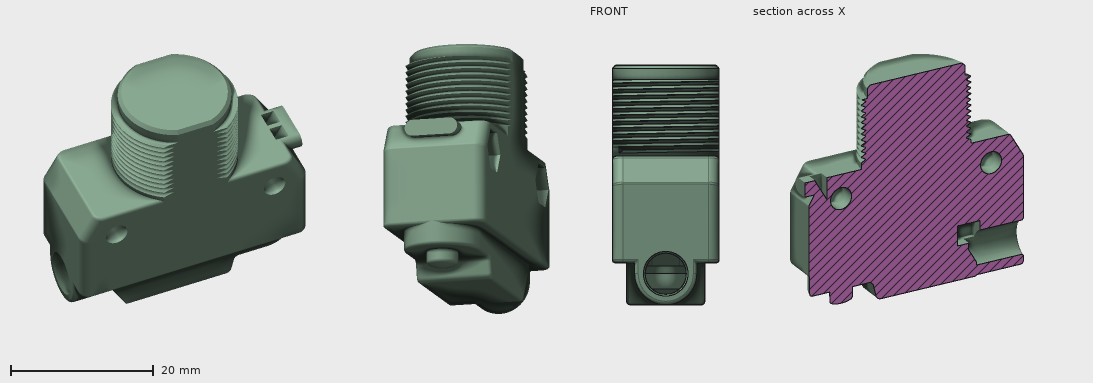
import cadquery as cq
import math

SLOPE_ANGLE = 60.0
SLOPE = math.tan(math.radians(SLOPE_ANGLE))
EDGE_RADIUS = 0.5
SMALL_RADIUS = 0.25
OVERLAP = 0.7
PICK_MARGIN = 0.05

OVERALL_LENGTH = 35.1
OVERALL_HEIGHT = 33.6

BODY_WIDTH = 15.0
BODY_LENGTH = 34.5
BODY_BOTTOM = 5.85
BODY_TOP = 20.82
BODY_CORNER_RADIUS = 1.47
SHOULDER_RUN = 2.18
HALF_WIDTH = BODY_WIDTH / 2
HALF_LENGTH = BODY_LENGTH / 2
SHOULDER_BOTTOM = BODY_TOP - SHOULDER_RUN * SLOPE

NECK_RADIUS = 8.92
NECK_TOP = 31.6
CAP_RADIUS = 7.97
CAP_CHAMFER = 0.5
TEN_TURNS_LENGTH = 8.95
THREAD_PITCH = TEN_TURNS_LENGTH / 10
THREAD_DEPTH = 0.75
THREAD_START_Z = 21.65
THREAD_START_ANGLE = 223.0
GROOVE_HEIGHT = 0.8
GROOVE_OVERSHOOT = 0.05

MOUNT_OFFSET = 12.05
MOUNT_Z = 17.03
MOUNT_DIAMETER = 3.3
HEX_CORNER_DIAMETER = 6.55
HEX_DEPTH = 2.4

COVER_WIDTH = 10.95
COVER_REAR_BOTTOM = 2.9
COVER_STEP_TOP_Y = 7.02
COVER_STEP_BOTTOM_Y = 6.32
COVER_STEP_TOP_RADIUS = 0.7
COVER_STEP_BOTTOM_RADIUS = 0.88
COVER_FRONT_BOTTOM_Y = -9.62
COVER_REAR_FLAT = 0.007

TUBE_RADIUS = 4.35
TUBE_LENGTH = 10.55
BORE_RADIUS = 2.88
BORE_DEPTH = 8.78
BORE_END = BORE_DEPTH - HALF_LENGTH
BORE_MOUTH_CHAMFER = 0.25
RAMP_TOP = TUBE_RADIUS
RAMP_BOTTOM = 2.2
RECESS_FLOOR = 5.4
RECESS_WIDTH = 6.67
RECESS_DEPTH = 1.75
RECESS_CORNER_RADIUS = 1.4
RECESS_TOP = 8.43

BUTTON_RADIUS = 2.2
BUTTON_RIM_Z = 1.2
BUTTON_BOTTOM = 0.6

TAB_WIDTH = 7.65
TAB_THICKNESS = 2.28
TAB_REAR = OVERALL_LENGTH - HALF_LENGTH
WINDOW_REAR = 16.25
WINDOW_LENGTH = 1.93
WINDOW_WIDTH = 2.3
BRIDGE_WIDTH = 0.7


def box(x_min, x_max, y_min, y_max, z_min, z_max):
    size = (x_max - x_min, y_max - y_min, z_max - z_min)
    return cq.Workplane("XY").box(*size, centered=False).translate((x_min, y_min, z_min))


def extrude_across(sketch, width):
    """Extrude a YZ outline symmetrically about X = 0."""
    return sketch.extrude(width / 2, both=True)


def make_body():
    outline = cq.Workplane("YZ").polyline([
        (-HALF_LENGTH, BODY_BOTTOM),
        (HALF_LENGTH, BODY_BOTTOM),
        (HALF_LENGTH, SHOULDER_BOTTOM),
        (HALF_LENGTH - SHOULDER_RUN, BODY_TOP),
        (SHOULDER_RUN - HALF_LENGTH, BODY_TOP),
        (-HALF_LENGTH, SHOULDER_BOTTOM),
    ]).close()
    body = extrude_across(outline, BODY_WIDTH)
    shoulder_edges = cq.selectors.BoxSelector(
        (-HALF_WIDTH, -BODY_LENGTH, SHOULDER_BOTTOM - PICK_MARGIN),
        (HALF_WIDTH, BODY_LENGTH, SHOULDER_BOTTOM + PICK_MARGIN),
    )
    body = body.edges(shoulder_edges).edges("|X").fillet(EDGE_RADIUS)
    end_corners = body.faces("<X or >X").edges("not(|Y)")
    body = body.newObject(end_corners.vals()).fillet(BODY_CORNER_RADIUS)
    return body.faces("<Z or >Z").edges().fillet(EDGE_RADIUS)


def make_cable_tube():
    """U-shaped housing around the bore, flush with the front of the body."""
    front = cq.Workplane("XZ", origin=(0, -HALF_LENGTH, 0))
    outline = (
        front.moveTo(-TUBE_RADIUS, BODY_BOTTOM + OVERLAP)
        .lineTo(-TUBE_RADIUS, TUBE_RADIUS)
        .threePointArc((0, 0), (TUBE_RADIUS, TUBE_RADIUS))
        .lineTo(TUBE_RADIUS, BODY_BOTTOM + OVERLAP)
        .close()
    )
    tube = outline.extrude(-TUBE_LENGTH)
    return tube.faces("<Y").edges("not(>Z)").fillet(EDGE_RADIUS)


def join_tube(body, tube):
    """Join the tube and round the inner corners where it leaves the underside of the body."""
    joined = body.union(tube)
    inner_corners = cq.selectors.BoxSelector(
        (-TUBE_RADIUS - PICK_MARGIN, -HALF_LENGTH, BODY_BOTTOM - PICK_MARGIN),
        (TUBE_RADIUS + PICK_MARGIN, TUBE_LENGTH - HALF_LENGTH, BODY_BOTTOM + PICK_MARGIN),
    )
    return joined.edges(inner_corners).edges("|Y").fillet(SMALL_RADIUS)


def make_cover():
    top = BODY_BOTTOM + OVERLAP
    outline = cq.Workplane("YZ").polyline([
        (COVER_FRONT_BOTTOM_Y, 0),
        (COVER_STEP_BOTTOM_Y, 0),
        (COVER_STEP_TOP_Y, COVER_REAR_BOTTOM),
        (HALF_LENGTH, COVER_REAR_BOTTOM),
        (HALF_LENGTH, top),
        (COVER_FRONT_BOTTOM_Y - top / SLOPE, top),
    ]).close()
    cover = extrude_across(outline, COVER_WIDTH)

    def step_edge(y, z):
        return cover.edges(cq.NearestToPointSelector((0, y, z))).vals()

    step_bottom = step_edge(COVER_STEP_BOTTOM_Y, 0)
    cover = cover.newObject(step_bottom).fillet(COVER_STEP_BOTTOM_RADIUS)
    step_top = step_edge(COVER_STEP_TOP_Y, COVER_REAR_BOTTOM)
    cover = cover.newObject(step_top).fillet(COVER_STEP_TOP_RADIUS)

    cover = cover.faces(">Y").edges("|Z").fillet((COVER_WIDTH - COVER_REAR_FLAT) / 2)
    underside = cover.faces("<Z").edges("|Y")
    cover = cover.newObject(underside.vals()).fillet(EDGE_RADIUS)
    front_edges = cover.faces("<Y").edges("not(>Z)")
    return cover.newObject(front_edges.vals()).fillet(SMALL_RADIUS)


def make_button():
    profile = (
        cq.Workplane("XZ", origin=(0, MOUNT_OFFSET, 0))
        .moveTo(0, BUTTON_BOTTOM)
        .lineTo(0, COVER_REAR_BOTTOM + OVERLAP)
        .lineTo(BUTTON_RADIUS, COVER_REAR_BOTTOM + OVERLAP)
        .lineTo(BUTTON_RADIUS, BUTTON_RIM_Z)
    )
    dome_height = BUTTON_RIM_Z - BUTTON_BOTTOM
    dome_radius = (BUTTON_RADIUS**2 + dome_height**2) / (2 * dome_height)
    button = profile.radiusArc((0, BUTTON_BOTTOM), dome_radius).close().revolve(360, (0, 0, 0), (0, 1, 0))
    rim = cq.NearestToPointSelector((0, MOUNT_OFFSET, BUTTON_RIM_Z))
    return button.edges(rim).fillet(EDGE_RADIUS)


def make_latch_tab():
    plane = cq.Workplane("XZ", origin=(0, TAB_REAR, BODY_TOP - TAB_THICKNESS / 2))
    return plane.slot2D(TAB_WIDTH, TAB_THICKNESS).extrude(TAB_REAR - WINDOW_REAR + WINDOW_LENGTH)


def make_latch_windows():
    """Two wedge pockets whose floors fall steeply away from the rear."""
    front = WINDOW_REAR - WINDOW_LENGTH
    wedge = (
        cq.Workplane("YZ")
        .polyline([(WINDOW_REAR, BODY_TOP), (front, BODY_TOP), (front, BODY_TOP - WINDOW_LENGTH * SLOPE)])
        .close()
        .extrude(WINDOW_WIDTH)
    )
    right = wedge.translate((BRIDGE_WIDTH / 2, 0, 0))
    return right.union(right.mirror("YZ"))


def make_thread_groove():
    """Right-hand V groove that runs out past the top of the neck."""
    outer = NECK_RADIUS + GROOVE_OVERSHOOT
    root = NECK_RADIUS - THREAD_DEPTH
    half = GROOVE_HEIGHT / 2 * (outer - root) / THREAD_DEPTH
    height = NECK_TOP + THREAD_PITCH / 2 - THREAD_START_Z
    helix = cq.Wire.makeHelix(THREAD_PITCH, height, root)
    groove = (
        cq.Workplane("XZ")
        .polyline([(root, 0), (outer, half), (outer, -half)])
        .close()
        .sweep(cq.Workplane(obj=helix), isFrenet=True)
    )
    return groove.rotate((0, 0, 0), (0, 0, 1), THREAD_START_ANGLE).translate((0, 0, THREAD_START_Z))


def make_neck():
    base = BODY_TOP - OVERLAP
    blank_height = NECK_TOP + 2 * THREAD_PITCH - base
    shank = cq.Workplane("XY", origin=(0, 0, base)).circle(NECK_RADIUS).extrude(blank_height)
    shank = shank.cut(make_thread_groove())
    shank = shank.intersect(box(-HALF_WIDTH, HALF_WIDTH, -NECK_RADIUS, NECK_RADIUS, base, NECK_TOP))
    cap = cq.Workplane("XY", origin=(0, 0, base)).circle(CAP_RADIUS).extrude(OVERALL_HEIGHT - base)
    cap = cap.faces(">Z").chamfer(CAP_CHAMFER)
    cap_flats = box(-HALF_WIDTH, HALF_WIDTH, -CAP_RADIUS, CAP_RADIUS, base, OVERALL_HEIGHT)
    cap = cap.intersect(cap_flats.faces(">Z").edges("|Y").chamfer(CAP_CHAMFER))
    return shank.union(cap)


def make_bore_ramp():
    """Solid ramp left standing across the inner end of the bore."""
    ramp_foot = BORE_END - (RAMP_TOP - RAMP_BOTTOM) / SLOPE
    outline = cq.Workplane("YZ").polyline([
        (BORE_END, RAMP_TOP),
        (ramp_foot, RAMP_BOTTOM),
        (ramp_foot, 0),
        (BORE_END, 0),
    ]).close()
    return extrude_across(outline, 2 * BORE_RADIUS)


def make_bore_recess():
    """Pocket above the ramp with rounded far corners."""
    half = RECESS_WIDTH / 2
    recess = box(-half, half, BORE_END - RECESS_DEPTH, BORE_END + RECESS_DEPTH, RECESS_FLOOR, RECESS_TOP)
    return recess.edges("|Z and >Y").fillet(RECESS_CORNER_RADIUS)


def make_bore():
    """Blind cable bore with a chamfered mouth, a ramped end and a recess above the ramp."""
    mouth = cq.Workplane("XZ", origin=(0, -HALF_LENGTH, TUBE_RADIUS))
    bore = mouth.circle(BORE_RADIUS).extrude(-BORE_DEPTH)
    countersink = cq.Workplane(
        cq.Solid.makeCone(
            BORE_RADIUS + BORE_MOUTH_CHAMFER,
            BORE_RADIUS,
            BORE_MOUTH_CHAMFER,
            pnt=cq.Vector(0, -HALF_LENGTH, TUBE_RADIUS),
            dir=cq.Vector(0, 1, 0),
        )
    )
    return bore.cut(make_bore_ramp()).union(countersink).union(make_bore_recess())


def make_mounting_hole(y):
    side = cq.Workplane("YZ", origin=(-HALF_WIDTH, y, MOUNT_Z))
    through = side.circle(MOUNT_DIAMETER / 2).extrude(BODY_WIDTH)
    return through.union(side.polygon(6, HEX_CORNER_DIAMETER).extrude(HEX_DEPTH))


result = (
    join_tube(make_body(), make_cable_tube())
    .union(make_cover())
    .union(make_button())
    .union(make_latch_tab())
    .union(make_neck())
    .cut(make_latch_windows())
    .cut(make_bore())
)
for mount_y in (-MOUNT_OFFSET, MOUNT_OFFSET):
    result = result.cut(make_mounting_hole(mount_y))